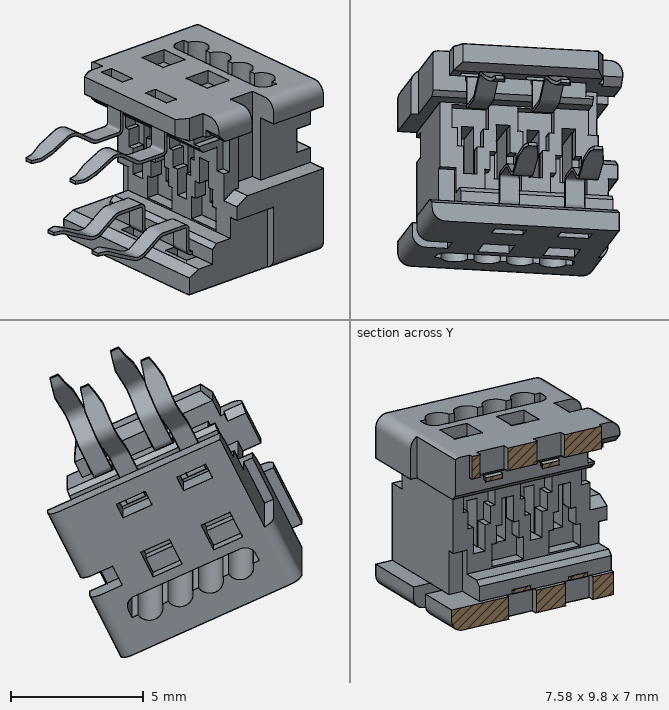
import cadquery as cq
import math


HALF_WIDTH = 3.79
HALF_HEIGHT = 3.5
FLANGE_INNER = 2.56
FLANGE_DEPTH = 6.4
CORNER_RADIUS = 0.51
BODY_LEFT = -3.06
BODY_RIGHT = 3.04
BODY_DEPTH = 4.34
SHOULDER_DEPTH = 5.24
SHOULDER_INNER = 1.75
SHOULDER_CHAMFER = 0.2
LIP_LENGTH = 0.47
LIP_HEIGHT = 0.23

LEFT_SKIRT_X = -3.52
RIGHT_FLANGE_X = 3.42
SIDE_RECESS_DEPTH = 2.5
RIGHT_RECESS_TOP = -0.88
KEY_WALL_TOP = -0.02
KEY_BEVEL_LENGTH = 0.53
KEY_BEVEL_HEIGHT = 0.3
WING_BEVEL = 0.31
POCKET_DEPTH = 4.05
POCKET_END = 0.78
LEFT_POCKET_X = -2.45
RIGHT_POCKET_X = 2.66
STEP_NOTCH_X = 2.37
STEP_NOTCH_Z = 2.05
TONGUE_HALF = 2.88
TONGUE_CORNER_X = 0.27
TONGUE_CORNER_Y = 0.47
TOP_NOTCH_X = 2.58
TOP_NOTCH_END = 3.6
BOTTOM_NOTCH_X = -2.43
BOTTOM_NOTCH = (2.7, 3.55)
BACK_GROOVE_DEPTH = 0.69
BACK_GROOVE = (0.59, 1.56)

CONTACT_COUNT = 4
PITCH = 1.26
WIRE_RADIUS = 0.52
WIRE_DEPTH = 1.46
CHANNEL_HALF = 2.66
CHANNEL_BACK = 1.37
CHANNEL_FRONT = 2.11
CHANNEL_RADIUS = 0.44

CAVITY_FLOOR = 3.83
CAVITY_HEAD = (0.78, 1.69, 1.4)
CAVITY_NECK = (0.08, 0.78, 1.0)
SLOT_HALF_HEIGHT = 0.99
SLOT_MOUTH_WIDTH = 0.52
SLOT_WIDTH = 0.46
WINDOW_WIDTH = 1.21
WINDOW_STEP = 3.14
WINDOW_STEP_DROP = 0.51
REAR_WINDOW_START = SIDE_RECESS_DEPTH
REAR_WINDOW_END = TOP_NOTCH_END
FRONT_WINDOW_START = 5.14
TOP_FRONT_WINDOW_END = 5.635
BOTTOM_FRONT_WINDOW_END = 5.73

TAIL_WIDTH = 0.75
TAIL_THICKNESS = 0.13
TAIL_LENGTH = 9.8
TAIL_ROOT_Z = 2.47
TAIL_DROP = 5.47
TAIL_LOW_Z = 1.27
TAIL_CREST_Z = 1.99
TAIL_RAMP_START = 6.81
TAIL_CREST = 7.88
TAIL_RAMP_END = 9.41
TAIL_BEND_RADII = (0.2, 0.18, 0.51, 0.59, 0.49)
TAIL_ROOT_OVERLAP = 0.1
TAPER_START = 8.94
TIP_WIDTH = 0.33

UPPER_CONTACTS = (-1.5 * PITCH, 0.5 * PITCH)


def block(x0, x1, depth0, depth1, z0, z1):
    """Box between two X positions, two depths and two Z positions."""
    size = (x1 - x0, depth1 - depth0, z1 - z0)
    return cq.Workplane("XY").box(*size, centered=False).translate((x0, -depth1, z0))


def side_prism(points, x0, x1):
    """Prism along X; the points are (depth, Z)."""
    outline = [(-depth, z) for depth, z in points]
    return cq.Workplane("YZ").polyline(outline).close().extrude(x1 - x0).translate((x0, 0, 0))


def half_turn(shape):
    """Copy turned half a turn about the Y axis: top to bottom and left to right."""
    return shape.rotate((0, 0, 0), (0, 1, 0), 180)


def flange(x0, x1):
    """Top flange with its bevelled lip."""
    return side_prism(
        [
            (0, HALF_HEIGHT),
            (FLANGE_DEPTH, HALF_HEIGHT),
            (FLANGE_DEPTH, FLANGE_INNER + LIP_HEIGHT),
            (FLANGE_DEPTH - LIP_LENGTH, FLANGE_INNER),
            (0, FLANGE_INNER),
        ],
        x0,
        x1,
    )


def shoulder(x0, x1, depth0):
    """Bar under the top flange with a chamfered front edge."""
    return side_prism(
        [
            (depth0, FLANGE_INNER),
            (SHOULDER_DEPTH, FLANGE_INNER),
            (SHOULDER_DEPTH, SHOULDER_INNER + SHOULDER_CHAMFER),
            (SHOULDER_DEPTH - SHOULDER_CHAMFER, SHOULDER_INNER),
            (depth0, SHOULDER_INNER),
        ],
        x0,
        x1,
    )


def housing_blank():
    """Body, flanges, shoulders and side walls with the long outer corners rounded."""
    top = flange(-HALF_WIDTH, HALF_WIDTH)
    shape = top.union(half_turn(top))
    shape = shape.union(block(BODY_LEFT, BODY_RIGHT, 0, BODY_DEPTH, -FLANGE_INNER, FLANGE_INNER))
    shape = shape.union(shoulder(-HALF_WIDTH, RIGHT_POCKET_X, 0))
    shape = shape.union(half_turn(shoulder(-RIGHT_FLANGE_X, -LEFT_POCKET_X, POCKET_DEPTH)))
    key_wall = side_prism(
        [
            (0, -FLANGE_INNER),
            (BODY_DEPTH, -FLANGE_INNER),
            (BODY_DEPTH, KEY_WALL_TOP - KEY_BEVEL_HEIGHT),
            (BODY_DEPTH - KEY_BEVEL_LENGTH, KEY_WALL_TOP),
            (0, KEY_WALL_TOP),
        ],
        BODY_RIGHT,
        HALF_WIDTH,
    )
    shape = shape.union(key_wall)
    envelope = (
        cq.Workplane("XZ")
        .rect(2 * HALF_WIDTH, 2 * HALF_HEIGHT)
        .extrude(FLANGE_DEPTH)
        .edges("|Y")
        .fillet(CORNER_RADIUS)
    )
    return shape.intersect(envelope)


def top_flange_cuts():
    """Corners that narrow the top flange to a tongue, and the bevel under its right wing."""
    wing = block(TONGUE_HALF, HALF_WIDTH, SHOULDER_DEPTH, FLANGE_DEPTH, FLANGE_INNER, HALF_HEIGHT)
    corner = (
        cq.Workplane("XY")
        .polyline(
            [
                (TONGUE_HALF, -FLANGE_DEPTH),
                (TONGUE_HALF, TONGUE_CORNER_Y - FLANGE_DEPTH),
                (TONGUE_HALF - TONGUE_CORNER_X, -FLANGE_DEPTH),
            ]
        )
        .close()
        .extrude(HALF_HEIGHT)
    )
    side = wing.union(corner)
    bevel = side_prism(
        [
            (SHOULDER_DEPTH, FLANGE_INNER),
            (SHOULDER_DEPTH, FLANGE_INNER + WING_BEVEL),
            (SHOULDER_DEPTH - WING_BEVEL, FLANGE_INNER),
        ],
        BODY_RIGHT,
        HALF_WIDTH,
    )
    return side.union(side.mirror("YZ")).union(bevel)


def side_cuts():
    """Side recesses, front pockets, edge notches and the groove across the back."""
    boxes = [
        (-HALF_WIDTH, LEFT_SKIRT_X, SIDE_RECESS_DEPTH, SHOULDER_DEPTH, SHOULDER_INNER, HALF_HEIGHT),
        (RIGHT_FLANGE_X, HALF_WIDTH, SIDE_RECESS_DEPTH, FLANGE_DEPTH, -HALF_HEIGHT, RIGHT_RECESS_TOP),
        (BODY_LEFT, LEFT_POCKET_X, POCKET_DEPTH, BODY_DEPTH, -FLANGE_INNER, -POCKET_END),
        (RIGHT_POCKET_X, BODY_RIGHT, POCKET_DEPTH, BODY_DEPTH, POCKET_END, FLANGE_INNER),
        (STEP_NOTCH_X, RIGHT_POCKET_X, POCKET_DEPTH, SHOULDER_DEPTH, STEP_NOTCH_Z, FLANGE_INNER),
        (TOP_NOTCH_X, HALF_WIDTH, SIDE_RECESS_DEPTH, TOP_NOTCH_END, KEY_WALL_TOP, HALF_HEIGHT),
        (-HALF_WIDTH, BOTTOM_NOTCH_X, *BOTTOM_NOTCH, -HALF_HEIGHT, -FLANGE_INNER),
        (-HALF_WIDTH, HALF_WIDTH, 0, BACK_GROOVE_DEPTH, *BACK_GROOVE),
    ]
    return [block(*box) for box in boxes]


def wire_channel():
    """Scalloped slot from top to bottom that takes the four wires."""
    slot = block(-CHANNEL_HALF, CHANNEL_HALF, CHANNEL_BACK, CHANNEL_FRONT, -HALF_HEIGHT, HALF_HEIGHT)
    slot = slot.edges("|Z and <Y").fillet(CHANNEL_RADIUS)
    wires = (
        cq.Workplane("XY", origin=(0, -WIRE_DEPTH, -HALF_HEIGHT))
        .rarray(PITCH, 0.1, CONTACT_COUNT, 1)
        .circle(WIRE_RADIUS)
        .extrude(2 * HALF_HEIGHT)
    )
    return slot.union(wires)


def contact_cuts(x, front_window_end):
    """Stepped cavity, blade slot and two flange windows of an upper contact."""

    def centred(width, depth0, depth1, z0, z1):
        return block(x - width / 2, x + width / 2, depth0, depth1, z0, z1)

    neck_low, neck_high, neck_width = CAVITY_NECK
    head_low, head_high, head_width = CAVITY_HEAD
    step_z = HALF_HEIGHT - WINDOW_STEP_DROP
    parts = [
        centred(head_width, CAVITY_FLOOR, BODY_DEPTH, head_low, head_high),
        centred(neck_width, CAVITY_FLOOR, BODY_DEPTH, neck_low, neck_high),
        centred(SLOT_MOUTH_WIDTH, CAVITY_FLOOR, BODY_DEPTH, -SLOT_HALF_HEIGHT, neck_low),
        centred(SLOT_WIDTH, WIRE_DEPTH, CAVITY_FLOOR, -SLOT_HALF_HEIGHT, SLOT_HALF_HEIGHT),
        centred(WINDOW_WIDTH, REAR_WINDOW_START, WINDOW_STEP, step_z, HALF_HEIGHT),
        centred(WINDOW_WIDTH, WINDOW_STEP, REAR_WINDOW_END, FLANGE_INNER, HALF_HEIGHT),
        centred(WINDOW_WIDTH, FRONT_WINDOW_START, front_window_end, FLANGE_INNER, HALF_HEIGHT),
    ]
    cut = parts[0]
    for part in parts[1:]:
        cut = cut.union(part)
    return cut


def rounded_path(points, radii):
    """Open path in the YZ plane with each inner corner replaced by a tangent arc."""
    path = cq.Workplane("YZ").moveTo(*points[0])
    for before, corner, after, radius in zip(points, points[1:], points[2:], radii):
        start, middle, end = tangent_arc(before, corner, after, radius)
        path = path.lineTo(*start).threePointArc(middle, end)
    return path.lineTo(*points[-1])


def tangent_arc(before, corner, after, radius):
    """Start, middle and end of the arc that rounds one corner."""
    corner = cq.Vector(*corner)
    back = (cq.Vector(*before) - corner).normalized()
    ahead = (cq.Vector(*after) - corner).normalized()
    half_angle = back.getAngle(ahead) / 2
    setback = radius / math.tan(half_angle)
    to_middle = radius / math.sin(half_angle) - radius
    ends = [corner + back * setback, corner + ahead * setback]
    middle = corner + (back + ahead).normalized() * to_middle
    return [(point.x, point.y) for point in (ends[0], middle, ends[1])]


def contact_tail(x):
    """Bent strip of an upper contact with a tapered tip."""
    bends = [
        (TAIL_ROOT_OVERLAP - SHOULDER_DEPTH, TAIL_ROOT_Z),
        (-TAIL_DROP, TAIL_ROOT_Z),
        (-TAIL_DROP, TAIL_LOW_Z),
        (-TAIL_RAMP_START, TAIL_LOW_Z),
        (-TAIL_CREST, TAIL_CREST_Z),
        (-TAIL_RAMP_END, TAIL_LOW_Z),
        (-TAIL_LENGTH, TAIL_LOW_Z),
    ]
    path = rounded_path(bends, TAIL_BEND_RADII)
    strip = (
        cq.Workplane("XZ", origin=(0, bends[0][0], TAIL_ROOT_Z))
        .rect(TAIL_WIDTH, TAIL_THICKNESS)
        .sweep(path)
    )
    half = TAIL_WIDTH / 2
    half_tip = TIP_WIDTH / 2
    plan = (
        cq.Workplane("XY")
        .polyline(
            [
                (-half, 0),
                (-half, -TAPER_START),
                (-half_tip, -TAIL_LENGTH),
                (half_tip, -TAIL_LENGTH),
                (half, -TAPER_START),
                (half, 0),
            ]
        )
        .close()
        .extrude(HALF_HEIGHT)
    )
    return strip.intersect(plan).translate((x, 0, 0))


result = housing_blank().cut(top_flange_cuts()).cut(wire_channel())
for cutter in side_cuts():
    result = result.cut(cutter)
for contact_x in UPPER_CONTACTS:
    top_cuts = contact_cuts(contact_x, TOP_FRONT_WINDOW_END)
    bottom_cuts = half_turn(contact_cuts(contact_x, BOTTOM_FRONT_WINDOW_END))
    tail = contact_tail(contact_x)
    result = result.cut(top_cuts).cut(bottom_cuts)
    result = result.union(tail).union(half_turn(tail))